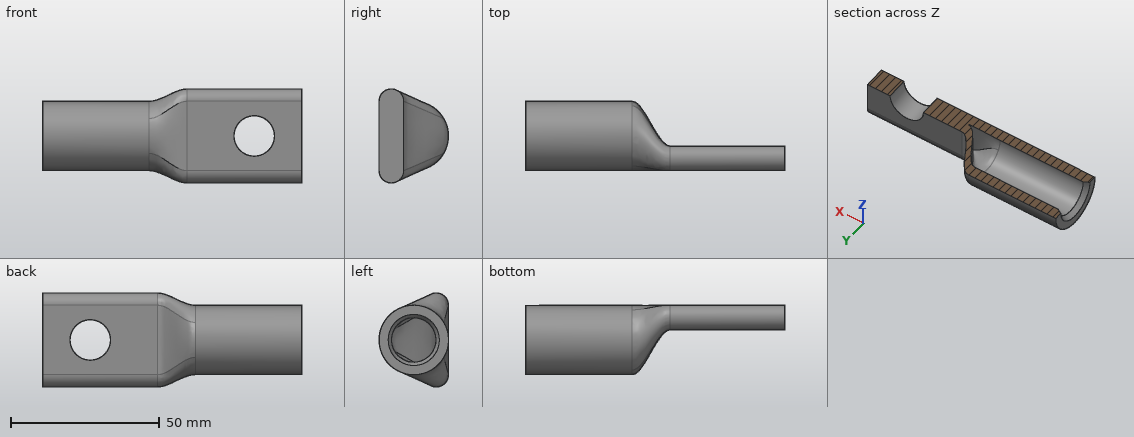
import cadquery as cq
import math

total_length = 87.4
barrel_length = 35.9
palm_start = 48.7
barrel_radius = 11.7
palm_thickness = 8.3
palm_width = 31.7
bore_diameter = 14.9
bore_mouth_diameter = 17.2
mouth_half_angle = math.radians(30)
slit_thickness = 0.2
bolt_hole_diameter = 13.55
bolt_hole_x = 71.3

neck_sections = 7
seam_angle = math.radians(30)

palm_edge_radius = palm_thickness / 2
palm_flat_half_width = palm_width / 2 - palm_edge_radius
palm_center_y = palm_edge_radius - barrel_radius
mouth_depth = (bore_mouth_diameter - bore_diameter) / 2 / math.tan(mouth_half_angle)


def round_points(radius):
    """Seam corners and arc midpoints (y, z) of a circle on the barrel axis."""
    seam_y = radius * math.cos(seam_angle)
    seam_z = radius * math.sin(seam_angle)
    return [
        (-seam_y, -seam_z), (-radius, 0), (-seam_y, seam_z), (0, radius),
        (seam_y, seam_z), (radius, 0), (seam_y, -seam_z), (0, -radius),
    ]


def flat_points(edge_radius):
    """Matching corners and midpoints (y, z) of a slot section centered on the palm."""
    front = palm_center_y - edge_radius
    back = palm_center_y + edge_radius
    flat = palm_flat_half_width
    edge = flat + edge_radius
    return [
        (front, -flat), (front, 0), (front, flat), (palm_center_y, edge),
        (back, flat), (back, 0), (back, -flat), (palm_center_y, -edge),
    ]


def ease(t):
    """Cubic from 0 to 1 that is level at both ends."""
    return t * t * (3 - 2 * t)


def section_wire(x, blend, round_radius, edge_radius):
    """Closed section at x, from the circle (blend 0) to the flat slot (blend 1)."""
    points = []
    for (y0, z0), (y1, z1) in zip(round_points(round_radius), flat_points(edge_radius)):
        points.append(cq.Vector(x, y0 + blend * (y1 - y0), z0 + blend * (z1 - z0)))
    edges = []
    for i in range(0, len(points), 2):
        start, middle, end = points[i], points[i + 1], points[(i + 2) % len(points)]
        is_flat = blend == 1 and i % 4 == 0
        if is_flat:
            edges.append(cq.Edge.makeLine(start, end))
        else:
            edges.append(cq.Edge.makeThreePointArc(start, middle, end))
    return cq.Wire.assembleEdges(edges)


def make_neck(round_radius, edge_radius):
    """Loft that flattens a circle of the barrel into a slot at the palm."""
    wires = []
    for i in range(neck_sections):
        t = i / (neck_sections - 1)
        x = barrel_length + t * (palm_start - barrel_length)
        wires.append(section_wire(x, ease(t), round_radius, edge_radius))
    return cq.Workplane(cq.Solid.makeLoft(wires))


def make_palm():
    return (
        cq.Workplane("YZ", origin=(palm_start, palm_center_y, 0))
        .slot2D(palm_width, palm_thickness, 90)
        .extrude(total_length - palm_start)
    )


barrel = cq.Workplane("YZ").circle(barrel_radius).extrude(barrel_length)
bore = cq.Workplane("YZ").circle(bore_diameter / 2).extrude(barrel_length)
neck_cavity = make_neck(bore_diameter / 2, slit_thickness / 2)
bore_mouth = (
    cq.Workplane("YZ")
    .circle(bore_mouth_diameter / 2)
    .workplane(offset=mouth_depth)
    .circle(bore_diameter / 2)
    .loft()
)
bolt_hole = (
    cq.Workplane("XZ", origin=(bolt_hole_x, 0, 0))
    .circle(bolt_hole_diameter / 2)
    .extrude(barrel_radius, both=True)
)

result = barrel.union(make_neck(barrel_radius, palm_edge_radius)).union(make_palm())
result = result.cut(bore).cut(neck_cavity).cut(bore_mouth).cut(bolt_hole)